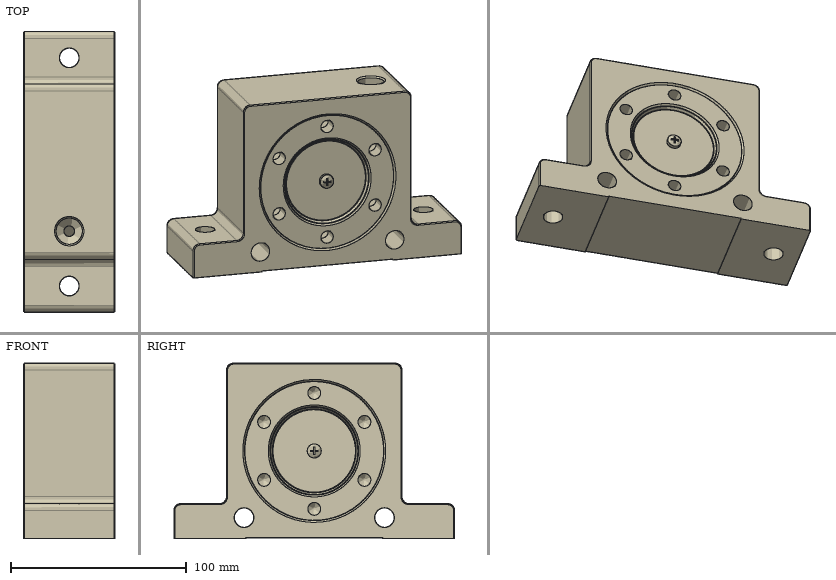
import cadquery as cq
import math

OVERALL_WIDTH = 52.14
HOUSING_WIDTH = 52.0
HOUSING_HEIGHT = 100.0
BLOCK_LENGTH = 100.0
FOOT_LENGTH = 160.0
FOOT_HEIGHT = 20.0
CORNER_RADIUS = 4.0
EDGE_CHAMFER = 0.6
RELIEF_LENGTH = 78.0
RELIEF_DEPTH = 0.5
SIDE_X = HOUSING_WIDTH / 2
SELECTION_MARGIN = 0.1

MOUNTING_DIAMETER = 11.0
FOOT_HOLE_SPACING = 130.0
CROSS_HOLE_SPACING = 80.0
CROSS_HOLE_HEIGHT = 12.0

PORT_Y = -33.75
PORT_DIAMETER = 14.95
PORT_MOUTH_DIAMETER = 16.7
PORT_DEPTH = 15.0
INLET_DIAMETER = 6.0

COVER_CENTER_Z = HOUSING_HEIGHT / 2
COVER_DIAMETER = 79.44
COVER_DEPTH = 0.8
COVER_EDGE_CHAMFER = 0.2
COVER_GROOVE_DEPTH = COVER_DEPTH + COVER_EDGE_CHAMFER
COVER_MOUTH_DIAMETER = COVER_DIAMETER + 2 * COVER_GROOVE_DEPTH
OPENING_DIAMETER = 52.4
OPENING_CHAMFER = 0.95
LEDGE_WIDTH = 0.4
SEAT_TAPER_WIDTH = 0.95
SEAT_TAPER_DEPTH = 1.5
PLATE_RISE = 0.1
PLATE_SEAT_DEPTH = COVER_DEPTH + OPENING_CHAMFER + SEAT_TAPER_DEPTH
PLATE_DEPTH = PLATE_SEAT_DEPTH - PLATE_RISE
COVER_HOLE_COUNT = 6
COVER_HOLE_DIAMETER = 7.3
COVER_HOLE_CIRCLE = 66.0
COVER_HOLE_DEPTH = 10.0
DRILL_POINT_ANGLE = 118.0

HEAD_DIAMETER = 8.0
HEAD_DOME_HEIGHT = 1.2
RECESS_LENGTH = 4.2
RECESS_WIDTH = 0.7
RECESS_DEPTH = 1.5


def drill_point_length(diameter, end_diameter=0.0):
    return (diameter - end_diameter) / 2 / math.tan(math.radians(DRILL_POINT_ANGLE / 2))


def on_cover_axis(profile_points):
    """Revolve (depth from the -X face, radius) points around the cover axis."""
    points = [(depth - SIDE_X, radius) for depth, radius in profile_points]
    profile = cq.Workplane("XY").polyline(points).close()
    return profile.revolve(360, (0, 0), (1, 0)).translate((0, 0, COVER_CENTER_Z))


def on_both_sides(shape):
    return shape.union(shape.mirror("YZ"))


def make_housing():
    half_foot = FOOT_LENGTH / 2
    half_block = BLOCK_LENGTH / 2
    half_relief = RELIEF_LENGTH / 2
    housing = (
        cq.Workplane("YZ")
        .polyline([
            (-half_foot, 0),
            (-half_relief, 0),
            (-half_relief, RELIEF_DEPTH),
            (half_relief, RELIEF_DEPTH),
            (half_relief, 0),
            (half_foot, 0),
            (half_foot, FOOT_HEIGHT),
            (half_block, FOOT_HEIGHT),
            (half_block, HOUSING_HEIGHT),
            (-half_block, HOUSING_HEIGHT),
            (-half_block, FOOT_HEIGHT),
            (-half_foot, FOOT_HEIGHT),
        ])
        .close()
        .extrude(SIDE_X, both=True)
    )
    above_relief = cq.selectors.BoxSelector(
        (-HOUSING_WIDTH, -FOOT_LENGTH, RELIEF_DEPTH + SELECTION_MARGIN),
        (HOUSING_WIDTH, FOOT_LENGTH, HOUSING_HEIGHT + SELECTION_MARGIN),
    )
    housing = housing.edges("|X").edges(above_relief).fillet(CORNER_RADIUS)
    return housing.faces("<X or >X").edges(above_relief).chamfer(EDGE_CHAMFER)


def make_mounting_holes():
    foot_holes = (
        cq.Workplane("XY")
        .pushPoints([(0, -FOOT_HOLE_SPACING / 2), (0, FOOT_HOLE_SPACING / 2)])
        .circle(MOUNTING_DIAMETER / 2)
        .extrude(FOOT_HEIGHT)
    )
    cross_holes = (
        cq.Workplane("YZ")
        .pushPoints([
            (-CROSS_HOLE_SPACING / 2, CROSS_HOLE_HEIGHT),
            (CROSS_HOLE_SPACING / 2, CROSS_HOLE_HEIGHT),
        ])
        .circle(MOUNTING_DIAMETER / 2)
        .extrude(SIDE_X, both=True)
    )
    return foot_holes.union(cross_holes)


def make_air_port():
    """Port with a drilled bottom, then an inlet ending on the round cover plug."""
    port_radius = PORT_DIAMETER / 2
    mouth_radius = PORT_MOUTH_DIAMETER / 2
    inlet_radius = INLET_DIAMETER / 2
    cone_end = PORT_DEPTH + drill_point_length(PORT_DIAMETER, INLET_DIAMETER)
    port = (
        cq.Workplane("XZ")
        .polyline([
            (0, 0),
            (mouth_radius, 0),
            (port_radius, port_radius - mouth_radius),
            (port_radius, -PORT_DEPTH),
            (inlet_radius, -cone_end),
            (inlet_radius, -HOUSING_HEIGHT / 2),
            (0, -HOUSING_HEIGHT / 2),
        ])
        .close()
        .revolve(360, (0, 0), (0, 1))
        .translate((0, PORT_Y, HOUSING_HEIGHT))
    )
    plug = (
        cq.Workplane("YZ")
        .center(0, COVER_CENTER_Z)
        .circle(COVER_DIAMETER / 2)
        .extrude(SIDE_X, both=True)
    )
    return port.cut(plug)


def make_cover_recess():
    """V-groove around the cover, then a chamfer and a steeper taper down to the plate.

    A narrow flat ledge follows both the chamfer and the taper.
    """
    opening_radius = OPENING_DIAMETER / 2
    ledge_depth = COVER_DEPTH + OPENING_CHAMFER
    ledge_outer_radius = opening_radius - OPENING_CHAMFER
    ledge_inner_radius = ledge_outer_radius - LEDGE_WIDTH
    seat_radius = ledge_inner_radius - SEAT_TAPER_WIDTH
    plate_radius = seat_radius - LEDGE_WIDTH
    return on_cover_axis([
        (0, 0),
        (0, COVER_MOUTH_DIAMETER / 2),
        (COVER_GROOVE_DEPTH, COVER_DIAMETER / 2),
        (COVER_DEPTH, COVER_DIAMETER / 2 - COVER_EDGE_CHAMFER),
        (COVER_DEPTH, opening_radius),
        (ledge_depth, ledge_outer_radius),
        (ledge_depth, ledge_inner_radius),
        (PLATE_SEAT_DEPTH, seat_radius),
        (PLATE_SEAT_DEPTH, plate_radius),
        (PLATE_DEPTH, plate_radius),
        (PLATE_DEPTH, 0),
    ])


def make_cover_holes():
    radius = COVER_HOLE_DIAMETER / 2
    bottom = COVER_DEPTH + COVER_HOLE_DEPTH
    hole = on_cover_axis([
        (0, 0),
        (0, radius),
        (bottom, radius),
        (bottom + drill_point_length(COVER_HOLE_DIAMETER), 0),
    ])
    holes = cq.Workplane("XY")
    for index in range(COVER_HOLE_COUNT):
        angle = 2 * math.pi * index / COVER_HOLE_COUNT
        offset_y = COVER_HOLE_CIRCLE / 2 * math.sin(angle)
        offset_z = COVER_HOLE_CIRCLE / 2 * math.cos(angle)
        holes = holes.union(hole.translate((0, offset_y, offset_z)))
    return holes


def make_screw_head():
    """Domed disc standing on the plate, its highest points just beyond the housing side."""
    half_diameter = HEAD_DIAMETER / 2
    dome_radius = (half_diameter ** 2 + HEAD_DOME_HEIGHT ** 2) / (2 * HEAD_DOME_HEIGHT)
    corner_radius = math.hypot(RECESS_WIDTH / 2, RECESS_WIDTH / 2)
    corner_drop = dome_radius - math.sqrt(dome_radius ** 2 - corner_radius ** 2)
    crown_x = -OVERALL_WIDTH / 2 - corner_drop
    height = PLATE_DEPTH - SIDE_X - crown_x
    crown_plane = cq.Workplane("YZ", (crown_x, 0, COVER_CENTER_Z))
    dome = cq.Workplane("YZ", (crown_x + dome_radius, 0, COVER_CENTER_Z)).sphere(dome_radius)
    rim = crown_plane.circle(half_diameter).extrude(height)
    recess = crown_plane.rect(RECESS_LENGTH, RECESS_WIDTH).extrude(RECESS_DEPTH)
    recess = recess.union(crown_plane.rect(RECESS_WIDTH, RECESS_LENGTH).extrude(RECESS_DEPTH))
    return rim.intersect(dome).cut(recess)


result = (
    make_housing()
    .cut(make_mounting_holes())
    .cut(make_air_port())
    .cut(on_both_sides(make_cover_recess()))
    .cut(on_both_sides(make_cover_holes()))
    .union(on_both_sides(make_screw_head()))
)